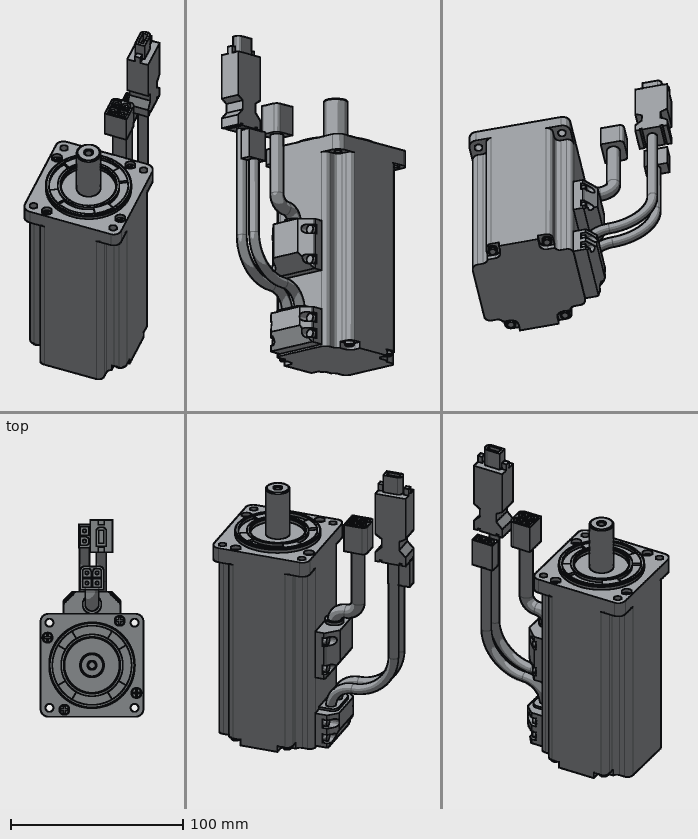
import cadquery as cq
import math

SIDE = 60.0
HALF = SIDE / 2
FLANGE_TOP = 125.8
FLANGE_THICKNESS = 9.2
FLANGE_BOTTOM = FLANGE_TOP - FLANGE_THICKNESS
FLANGE_CORNER_RADIUS = 4.7
MOUNT_HOLE_DIAMETER = 4.5
MOUNT_HOLE_OFFSET = 24.7

GROOVE_DEPTH = 10.1
LIP_RADIUS = 3.6
GROOVE_FILLET = 3.2

PILOT_DIAMETER = 50.0
PILOT_HEIGHT = 2.5
PILOT_TOP = FLANGE_TOP + PILOT_HEIGHT
PILOT_CHAMFER = 0.5
RING_OUTER_DIAMETER = 46.0
RING_INNER_DIAMETER = 36.0
RING_DEPTH = 1.8
PAD_DROP = 0.4
PAD_ANGLE = 29
PILOT_BORE_DIAMETER = 32.0
SHAFT_DIAMETER = 14.0
SHAFT_LENGTH = 30.0
SHAFT_CHAMFER = 0.7
CENTRE_HOLE_DIAMETER = 4.2
CENTRE_HOLE_RIM = 5.5
CENTRE_HOLE_DEPTH = 14.5

SCREW_HEAD_DIAMETER = 5.5
SCREW_BORE_DIAMETER = 6.0
SCREW_NEAR = 16.0
SCREW_FAR = 25.8
SCREW_BORE_DEPTH = 5.0
SCREW_HEAD_HEIGHT = 2.7
FOOT_HEAD_HEIGHT = 2.5
FOOT_HEAD_CHAMFER = 0.7
CROSS_LENGTH = 4.0
CROSS_WIDTH = 1.0
CROSS_DEPTH = 1.5
FOOT_POCKET_HEIGHT = 3.8
FOOT_POCKET_RADIUS = 3.8
FOOT_POCKET_Y = 11.5
FOOT_POCKET_X = SCREW_FAR - FOOT_POCKET_RADIUS

HOUSING_WIDTH = 33.4
HOUSING_BACK = 42.8
HOUSING_SHOULDER_X = 0.63
HOUSING_SHOULDER_Y = 0.9
HOUSING_EMBED = 1.8
HOUSING_SCREW_X = 13.7
HOUSING_SCREW_FLOOR = 34.3
HOUSING_HEAD_HEIGHT = 2.5
HOUSING_HEAD_DIAMETER = 5.0
HOUSING_SLOT_WIDTH = 5.5
BOSS_DIAMETER = 11.0
CABLE_EXIT_Y = 35.4

POWER_CABLE_DIAMETER = 8.0
SIGNAL_CABLE_DIAMETER = 6.0
POWER_CABLE_Y = 50.2
SIGNAL_CABLE_Y = 74.4
BRAKE_CABLE_X = -4.3
ENCODER_CABLE_X = 5.5
PIN_DIAMETER = 2.0
CELL_DEPTH = 2.7
CELL_PITCH = 6.0
CELL_SIZE = 4.9
CELL_CORNER = 1.6


def box(x_min, x_max, y_min, y_max, z_min, z_max):
    """Block between two opposite corners."""
    size = (x_max - x_min, y_max - y_min, z_max - z_min)
    return cq.Workplane("XY").box(*size, centered=False).translate((x_min, y_min, z_min))


def cylinder(x, y, z, diameter, height):
    """Upright cylinder standing on height z."""
    return cq.Workplane("XY", origin=(x, y, z)).circle(diameter / 2).extrude(height)


def corner_groove():
    """Cutter for the groove along the (+X, +Y) corner, as long as the housing."""
    floor = HALF - GROOVE_DEPTH
    lip_end = HALF - LIP_RADIUS
    flat_end = floor - LIP_RADIUS
    fillet_end = floor + GROOVE_FILLET
    lip_mid = LIP_RADIUS * math.sqrt(0.5)
    fillet_mid = fillet_end - GROOVE_FILLET * math.sqrt(0.5)
    return (
        cq.Workplane("XY")
        .moveTo(HALF, flat_end)
        .threePointArc((lip_end + lip_mid, flat_end + lip_mid), (lip_end, floor))
        .lineTo(fillet_end, floor)
        .threePointArc((fillet_mid, fillet_mid), (floor, fillet_end))
        .lineTo(floor, lip_end)
        .threePointArc((flat_end + lip_mid, lip_end + lip_mid), (flat_end, HALF))
        .lineTo(flat_end, SIDE)
        .lineTo(SIDE, SIDE)
        .lineTo(SIDE, flat_end)
        .close()
        .extrude(FLANGE_BOTTOM)
    )


def motor_housing():
    """Square housing with the grooved corners."""
    housing = box(-HALF, HALF, -HALF, HALF, 0, FLANGE_BOTTOM)
    groove = corner_groove()
    for turn in range(4):
        housing = housing.cut(groove.rotate((0, 0, 0), (0, 0, 1), 90 * turn))
    return housing


def flange():
    """Mounting flange with rounded corners and four through holes."""
    spacing = 2 * MOUNT_HOLE_OFFSET
    return (
        box(-HALF, HALF, -HALF, HALF, FLANGE_BOTTOM, FLANGE_TOP)
        .edges("|Z")
        .fillet(FLANGE_CORNER_RADIUS)
        .faces(">Z")
        .workplane(origin=(0, 0, FLANGE_TOP))
        .rect(spacing, spacing, forConstruction=True)
        .vertices()
        .hole(MOUNT_HOLE_DIAMETER)
    )


def ring(outer_diameter, inner_diameter, z, height):
    """Flat ring about the motor axis."""
    return (
        cq.Workplane("XY", origin=(0, 0, z))
        .circle(outer_diameter / 2)
        .circle(inner_diameter / 2)
        .extrude(height)
    )


def pilot():
    """Centring pilot: two rims, and a ring between them with four raised pads."""
    rims = (
        ring(PILOT_DIAMETER, PILOT_BORE_DIAMETER, FLANGE_TOP, PILOT_HEIGHT)
        .faces(">Z")
        .edges()
        .chamfer(PILOT_CHAMFER)
        .cut(ring(RING_OUTER_DIAMETER, RING_INNER_DIAMETER, PILOT_TOP - RING_DEPTH, RING_DEPTH))
    )
    pad_ring = ring(
        RING_OUTER_DIAMETER, RING_INNER_DIAMETER, PILOT_TOP - RING_DEPTH, RING_DEPTH - PAD_DROP
    )
    half_width = PILOT_DIAMETER * math.tan(math.radians(PAD_ANGLE / 2))
    wedge = (
        cq.Workplane("XY", origin=(0, 0, FLANGE_TOP))
        .polyline([(0, 0), (PILOT_DIAMETER, -half_width), (PILOT_DIAMETER, half_width)])
        .close()
        .extrude(PILOT_HEIGHT)
    )
    for pad in range(4):
        rims = rims.union(pad_ring.intersect(wedge.rotate((0, 0, 0), (0, 0, 1), 45 + 90 * pad)))
    return rims


def shaft():
    """Output shaft with a countersunk centre hole."""
    return (
        cylinder(0, 0, FLANGE_TOP, SHAFT_DIAMETER, SHAFT_LENGTH)
        .faces(">Z")
        .chamfer(SHAFT_CHAMFER)
        .faces(">Z")
        .workplane()
        .cskHole(CENTRE_HOLE_DIAMETER, CENTRE_HOLE_RIM, 90, CENTRE_HOLE_DEPTH)
    )


def cut_flange_screws(body):
    """Sink a cross-head screw into the flange beside each corner."""
    floor = FLANGE_TOP - SCREW_BORE_DEPTH
    bore = cylinder(SCREW_NEAR, SCREW_FAR, floor, SCREW_BORE_DIAMETER, SCREW_BORE_DEPTH)
    cross = (
        cq.Workplane("XY", origin=(SCREW_NEAR, SCREW_FAR, floor + SCREW_HEAD_HEIGHT))
        .rect(CROSS_LENGTH, CROSS_WIDTH)
        .extrude(-CROSS_DEPTH)
    )
    cross = cross.union(cross.rotate((SCREW_NEAR, SCREW_FAR, 0), (SCREW_NEAR, SCREW_FAR, 1), 90))
    head = cylinder(SCREW_NEAR, SCREW_FAR, floor, SCREW_HEAD_DIAMETER, SCREW_HEAD_HEIGHT).cut(cross)
    cutter = bore.cut(head)
    for turn in range(4):
        body = body.cut(cutter.rotate((0, 0, 0), (0, 0, 1), 90 * turn))
    return body


def cut_foot_pockets(body):
    """Open a pocket with a screw head at the foot of each corner."""
    pocket = (
        box(FOOT_POCKET_X, SIDE, FOOT_POCKET_Y, SIDE, 0, FOOT_POCKET_HEIGHT)
        .edges("|Z and <X and <Y")
        .fillet(FOOT_POCKET_RADIUS)
    )
    head_bottom = FOOT_POCKET_HEIGHT - FOOT_HEAD_HEIGHT
    head = cylinder(SCREW_FAR, SCREW_NEAR, head_bottom, SCREW_HEAD_DIAMETER, FOOT_HEAD_HEIGHT)
    head = head.faces("<Z").chamfer(FOOT_HEAD_CHAMFER)
    cutter = pocket.cut(head)
    for pair in (cutter, cutter.mirror("XZ")):
        body = body.cut(pair).cut(pair.mirror("YZ"))
    return body


def cable_housing(bottom, top, slope_top, foot_y, chamfer, screw_heights):
    """Cable housing on the back: sloped foot, chamfered sides and screws in open slots."""
    half = HOUSING_WIDTH / 2
    chamfer_x = half - HOUSING_SHOULDER_X
    chamfer_y = HOUSING_BACK - chamfer
    profile = [
        (half, 0),
        (half, chamfer_y - HOUSING_SHOULDER_Y),
        (chamfer_x, chamfer_y),
        (chamfer_x - chamfer, HOUSING_BACK),
    ]
    housing = (
        cq.Workplane("YZ", origin=(-half, 0, 0))
        .polyline(
            [
                (HALF - HOUSING_EMBED, bottom),
                (foot_y, bottom),
                (HOUSING_BACK, slope_top),
                (HOUSING_BACK, top),
                (HALF - HOUSING_EMBED, top),
            ]
        )
        .close()
        .extrude(HOUSING_WIDTH)
    )
    outline = (
        cq.Workplane("XY", origin=(0, 0, bottom))
        .polyline(profile + [(-x, y) for x, y in reversed(profile)])
        .close()
        .extrude(top - bottom)
    )
    housing = housing.intersect(outline)
    for height in screw_heights:
        for side in (-1, 1):
            slot, head = housing_screw(side, height)
            housing = housing.cut(slot).union(head)
    return housing


def housing_screw(side, height):
    """Slot open to the side of a cable housing, and the screw head standing on its floor."""
    x = side * HOUSING_SCREW_X
    floor = cq.Workplane("XZ", origin=(x, HOUSING_SCREW_FLOOR, height))
    slot = floor.circle(HOUSING_SLOT_WIDTH / 2).extrude(-HOUSING_BACK)
    opening = floor.center(side * HALF / 2, 0).rect(HALF, HOUSING_SLOT_WIDTH).extrude(-HOUSING_BACK)
    head = floor.circle(HOUSING_HEAD_DIAMETER / 2).extrude(-HOUSING_HEAD_HEIGHT)
    return slot.union(opening), head


def cable(x, run_y, diameter, exit_z, lower_radius, upper_radius, top):
    """Cable rising from a housing, swept back by an S-bend and then straight up."""
    bend_y = CABLE_EXIT_Y + lower_radius
    bend_z = exit_z + lower_radius
    straight_z = bend_z + upper_radius
    diagonal = math.sqrt(0.5)
    path = (
        cq.Workplane("YZ", origin=(x, 0, 0))
        .moveTo(CABLE_EXIT_Y, exit_z)
        .threePointArc(
            (bend_y - lower_radius * diagonal, exit_z + lower_radius * diagonal), (bend_y, bend_z)
        )
        .threePointArc(
            (bend_y + upper_radius * diagonal, straight_z - upper_radius * diagonal),
            (run_y, straight_z),
        )
        .lineTo(run_y, top)
    )
    return cq.Workplane("XY", origin=(x, CABLE_EXIT_Y, exit_z)).circle(diameter / 2).sweep(path)


def socket_cell(x, y, top, rounded_edges=None):
    """Cutter for one square cell with a pin left standing in it; chosen corners may be rounded."""
    base = cq.Workplane("XY", origin=(x, y, top - CELL_DEPTH))
    cell = base.rect(CELL_SIZE, CELL_SIZE).extrude(CELL_DEPTH)
    if rounded_edges:
        cell = cell.edges(rounded_edges).fillet(CELL_CORNER)
    return cell.cut(base.circle(PIN_DIAMETER / 2).extrude(CELL_DEPTH))


POWER_HOUSING_TOP = 75.5
POWER_BOSS_HEIGHT = 1.8
POWER_BEND = (POWER_CABLE_Y - CABLE_EXIT_Y) / 2
POWER_PLUG_BOTTOM = 125.6
POWER_PLUG_TOP = 142.8
POWER_PLUG_Y = 50.7
POWER_PLUG_SIDE = 13.5
POWER_PLUG_CORNER = 2.5


def power_line():
    """Upper housing with its boss, the thick cable and the four-pole plug."""
    housing = cable_housing(45.7, POWER_HOUSING_TOP, 55.2, 36.0, 6.5, (51.5, 69.5))
    boss = cylinder(0, CABLE_EXIT_Y, POWER_HOUSING_TOP, BOSS_DIAMETER, POWER_BOSS_HEIGHT)
    exit_z = POWER_HOUSING_TOP + 0.5
    wire = cable(
        0, POWER_CABLE_Y, POWER_CABLE_DIAMETER, exit_z, POWER_BEND, POWER_BEND, POWER_PLUG_BOTTOM
    )
    half = POWER_PLUG_SIDE / 2
    plug = (
        box(-half, half, -half, half, POWER_PLUG_BOTTOM, POWER_PLUG_TOP)
        .edges("|Z and >Y")
        .fillet(POWER_PLUG_CORNER)
    )
    for x in (-CELL_PITCH / 2, CELL_PITCH / 2):
        plug = plug.cut(socket_cell(x, CELL_PITCH / 2, POWER_PLUG_TOP, "|Z and >Y"))
        plug = plug.cut(socket_cell(x, -CELL_PITCH / 2, POWER_PLUG_TOP))
    plug = plug.translate((0, POWER_PLUG_Y, 0))
    return housing.union(boss).union(wire).union(plug)


SIGNAL_HOUSING_TOP = 22.4
SIGNAL_BOSS_HEIGHT = 1.5
SIGNAL_BOSS_WIDTH = 21.7
SIGNAL_BOSS_CORNER = 3.8
SIGNAL_LOWER_BEND = 13.5
SIGNAL_UPPER_BEND = SIGNAL_CABLE_Y - CABLE_EXIT_Y - SIGNAL_LOWER_BEND
BRAKE_PLUG_BOTTOM = 105.6
BRAKE_PLUG_TOP = 122.7
BRAKE_PLUG_Y = 75.0
BRAKE_PLUG_WIDTH = 6.7
BRAKE_PLUG_DEPTH = 13.5


def brake_plug():
    """Two-pole plug."""
    half_x = BRAKE_PLUG_WIDTH / 2
    half_y = BRAKE_PLUG_DEPTH / 2
    plug = box(-half_x, half_x, -half_y, half_y, BRAKE_PLUG_BOTTOM, BRAKE_PLUG_TOP)
    plug = plug.cut(socket_cell(0, CELL_PITCH / 2, BRAKE_PLUG_TOP))
    plug = plug.cut(socket_cell(0, -CELL_PITCH / 2, BRAKE_PLUG_TOP, "|Z and >X"))
    return plug.translate((BRAKE_CABLE_X, BRAKE_PLUG_Y, 0))


ENCODER_PLUG_BOTTOM = 125.6
ENCODER_BODY_TOP = 169.5
ENCODER_TAB_TOP = 173.6
ENCODER_CORE_TOP = 180.5
ENCODER_WIDTH = 13.0
ENCODER_DEPTH = 19.0
ENCODER_Y = 114.5 - HALF - ENCODER_DEPTH / 2
ENCODER_CORE_DEPTH = 11.0
ENCODER_CORE_WIDTH = 6.0
ENCODER_CORE_CORNER = 2.3
ENCODER_CORE_SHIFT = -0.4
ENCODER_TAB_DEPTH = 2.9
ENCODER_TAB_WIDTH = 3.5
ENCODER_CAVITY_WIDTH = 3.0
ENCODER_CAVITY_LENGTH = 7.5
ENCODER_CAVITY_DEPTH = 5.5
FOOT_NOTCH_OFFSET = 6.1
FOOT_NOTCH_WIDTH = 1.3
FOOT_NOTCH_HEIGHT = 1.0
WAIST_LEVELS = (131.4, 135.4, 140.8, 143.3)


def encoder_plug():
    """Waisted plug with a hollow core and two latch tabs on top."""
    half = ENCODER_DEPTH / 2
    waist = ENCODER_CORE_DEPTH / 2
    flare_bottom, waist_bottom, waist_top, flare_top = WAIST_LEVELS
    profile = [
        (half, ENCODER_PLUG_BOTTOM),
        (half, flare_bottom),
        (waist, waist_bottom),
        (waist, waist_top),
        (half, flare_top),
        (half, ENCODER_BODY_TOP),
    ]
    outline = profile + [(-y, z) for y, z in reversed(profile)]
    body = (
        cq.Workplane("YZ").polyline(outline).close().extrude(ENCODER_WIDTH / 2, both=True)
    )
    core = (
        cq.Workplane("XY", origin=(0, ENCODER_CORE_SHIFT, ENCODER_BODY_TOP))
        .rect(ENCODER_CORE_WIDTH, ENCODER_CORE_DEPTH)
        .extrude(ENCODER_CORE_TOP - ENCODER_BODY_TOP)
        .edges("|Z and >Y")
        .fillet(ENCODER_CORE_CORNER)
        .faces(">Z")
        .workplane(origin=(0, ENCODER_CORE_SHIFT, ENCODER_CORE_TOP))
        .rect(ENCODER_CAVITY_WIDTH, ENCODER_CAVITY_LENGTH)
        .cutBlind(-ENCODER_CAVITY_DEPTH)
    )
    tabs = (
        cq.Workplane("XY", origin=(0, 0, ENCODER_BODY_TOP))
        .rarray(1.8, ENCODER_DEPTH - ENCODER_TAB_DEPTH, 1, 2)
        .rect(ENCODER_TAB_WIDTH, ENCODER_TAB_DEPTH)
        .extrude(ENCODER_TAB_TOP - ENCODER_BODY_TOP)
    )
    notches = (
        cq.Workplane("XY", origin=(0, 0, ENCODER_PLUG_BOTTOM))
        .rarray(1.8, 2 * FOOT_NOTCH_OFFSET, 1, 2)
        .rect(ENCODER_WIDTH, FOOT_NOTCH_WIDTH)
        .extrude(FOOT_NOTCH_HEIGHT)
    )
    return body.union(core).union(tabs).cut(notches).translate((ENCODER_CABLE_X, ENCODER_Y, 0))


def signal_lines():
    """Lower housing with its wide boss, two thin cables and their plugs."""
    housing = cable_housing(1.3, SIGNAL_HOUSING_TOP, 11.2, 37.9, 4.7, (6.9, 16.5))
    boss_half = SIGNAL_BOSS_WIDTH / 2
    boss_reach = BOSS_DIAMETER / 2
    boss = (
        box(
            -boss_half,
            boss_half,
            HALF - HOUSING_EMBED,
            CABLE_EXIT_Y + boss_reach,
            SIGNAL_HOUSING_TOP,
            SIGNAL_HOUSING_TOP + SIGNAL_BOSS_HEIGHT,
        )
        .edges("|Z and >Y")
        .fillet(SIGNAL_BOSS_CORNER)
    )
    lines = housing.union(boss)
    for x, plug, plug_bottom in (
        (BRAKE_CABLE_X, brake_plug(), BRAKE_PLUG_BOTTOM),
        (ENCODER_CABLE_X, encoder_plug(), ENCODER_PLUG_BOTTOM),
    ):
        wire = cable(
            x,
            SIGNAL_CABLE_Y,
            SIGNAL_CABLE_DIAMETER,
            SIGNAL_HOUSING_TOP + 0.7,
            SIGNAL_LOWER_BEND,
            SIGNAL_UPPER_BEND,
            plug_bottom,
        )
        lines = lines.union(wire).union(plug)
    return lines


motor = motor_housing().union(flange()).union(pilot()).union(shaft())
motor = cut_flange_screws(motor)
motor = motor.union(power_line()).union(signal_lines())
result = cut_foot_pockets(motor)